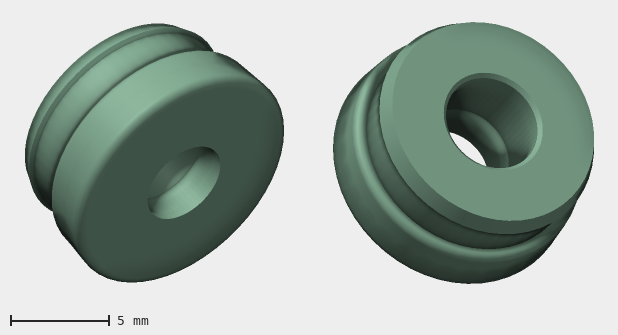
import cadquery as cq
import math

length = 6.2
lip_length = 0.88
neck_start = 1.09
collar_start = 3.19
plug_end = 4.1

max_radius = 6.4
plug_tip_radius = 5.5
lip_radius = 5.85
neck_radius = 5.65

bore_radius = 2.5
bore_chamfer = 0.2

taper_angle = math.radians(4.1)
collar_front_round = 0.4
collar_rear_round = 0.5
throat_radius = 2.24
entry_angle = math.radians(45)

taper_rise = math.tan(taper_angle)
rear_round_center_radius = max_radius - collar_rear_round
collar_rear_corner = (
    rear_round_center_radius
    + collar_rear_round / math.cos(taper_angle)
    + collar_rear_round * taper_rise
)
collar_front_corner = collar_rear_corner - (length - collar_start) * taper_rise

entry_round = (bore_radius - throat_radius) / (1 - math.cos(entry_angle))
entry_length = entry_round * math.sin(entry_angle)
entry_mid_x = plug_end + entry_length - entry_round * math.sin(entry_angle / 2)
entry_mid_radius = throat_radius + entry_round * (1 - math.cos(entry_angle / 2))


def revolve_about_x(profile):
    """Turn a closed (x, radius) profile into a solid around the X axis."""
    return profile.close().revolve(360, (0, 0, 0), (1, 0, 0))


def make_plug():
    """Barbed sleeve whose plain rear end sits in the collar."""
    profile = (
        cq.Workplane("XY")
        .moveTo(0, bore_radius + bore_chamfer)
        .lineTo(0, plug_tip_radius)
        .lineTo(lip_length, lip_radius)
        .lineTo(neck_start, neck_radius)
        .lineTo(plug_end, neck_radius)
        .lineTo(plug_end, bore_radius)
        .lineTo(bore_chamfer, bore_radius)
    )
    return revolve_about_x(profile)


def make_collar():
    """Tapered ring with a front recess for the plug, rounded at both outer corners."""
    profile = (
        cq.Workplane("XY")
        .moveTo(plug_end, bore_radius)
        .lineTo(plug_end, neck_radius)
        .lineTo(collar_start, neck_radius)
        .lineTo(collar_start, collar_front_corner)
        .lineTo(length, collar_rear_corner)
        .lineTo(length, throat_radius)
        .lineTo(plug_end + entry_length, throat_radius)
        .threePointArc((entry_mid_x, entry_mid_radius), (plug_end, bore_radius))
    )
    collar = revolve_about_x(profile)
    collar = collar.faces("<X").edges(cq.selectors.RadiusNthSelector(-1)).fillet(collar_front_round)
    return collar.faces(">X").edges(cq.selectors.RadiusNthSelector(-1)).fillet(collar_rear_round)


plug = make_plug()
collar = make_collar()

result = cq.Compound.makeCompound([plug.val(), collar.val()])